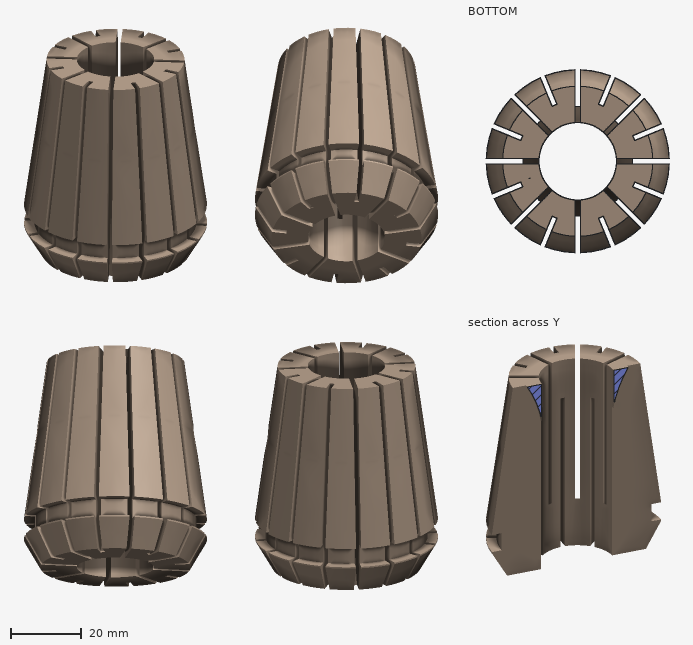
import cadquery as cq

height = 60.0
max_radius = 26.0
top_radius = 19.55
bore_radius = 11.0

nose_radius = 21.3
nose_height = 8.1
lip_thickness = 0.4
groove_radius = 23.05
groove_width = 5.5
lip_top = nose_height + lip_thickness
groove_top = lip_top + groove_width

slots_per_end = 8
slot_pitch = 360.0 / slots_per_end
slot_width = 1.45
saw_radius = 35.0
cut_clearance = 3.0
slot_inner_radius = bore_radius - cut_clearance
slot_outer_radius = max_radius + cut_clearance

bottom_slot_runout = 12.25
bottom_slot_end_radius = 15.6

top_slot_runout = 15.0
top_slot_end_radius = 17.2


def collet_body():
    """Revolve the hollow double-cone section about Z."""
    section = (
        cq.Workplane("XZ")
        .moveTo(bore_radius, 0)
        .lineTo(nose_radius, 0)
        .lineTo(max_radius, nose_height)
        .lineTo(max_radius, lip_top)
        .lineTo(groove_radius, lip_top)
        .lineTo(groove_radius, groove_top)
        .lineTo(max_radius, groove_top)
        .lineTo(top_radius, height)
        .lineTo(bore_radius, height)
        .close()
    )
    return section.revolve(360, (0, 0), (0, 1))


def slot_cutter(open_z, closed_z, runout, end_radius):
    """Radial slot along +X, through the wall at open_z and with a saw-cut floor near closed_z."""
    direction = 1 if closed_z > open_z else -1
    floor_start_z = closed_z - direction * runout
    return (
        cq.Workplane("XZ")
        .moveTo(slot_inner_radius, open_z)
        .lineTo(slot_inner_radius, floor_start_z)
        .lineTo(bore_radius, floor_start_z)
        .radiusArc((end_radius, closed_z), direction * saw_radius)
        .lineTo(slot_outer_radius, closed_z)
        .lineTo(slot_outer_radius, open_z)
        .close()
        .extrude(slot_width / 2, both=True)
    )


bottom_slot = slot_cutter(0, height, bottom_slot_runout, bottom_slot_end_radius)
top_slot = slot_cutter(height, 0, top_slot_runout, top_slot_end_radius)

result = collet_body()
for index in range(slots_per_end):
    angle = index * slot_pitch
    result = result.cut(bottom_slot.rotate((0, 0, 0), (0, 0, 1), angle))
    result = result.cut(top_slot.rotate((0, 0, 0), (0, 0, 1), angle + slot_pitch / 2))